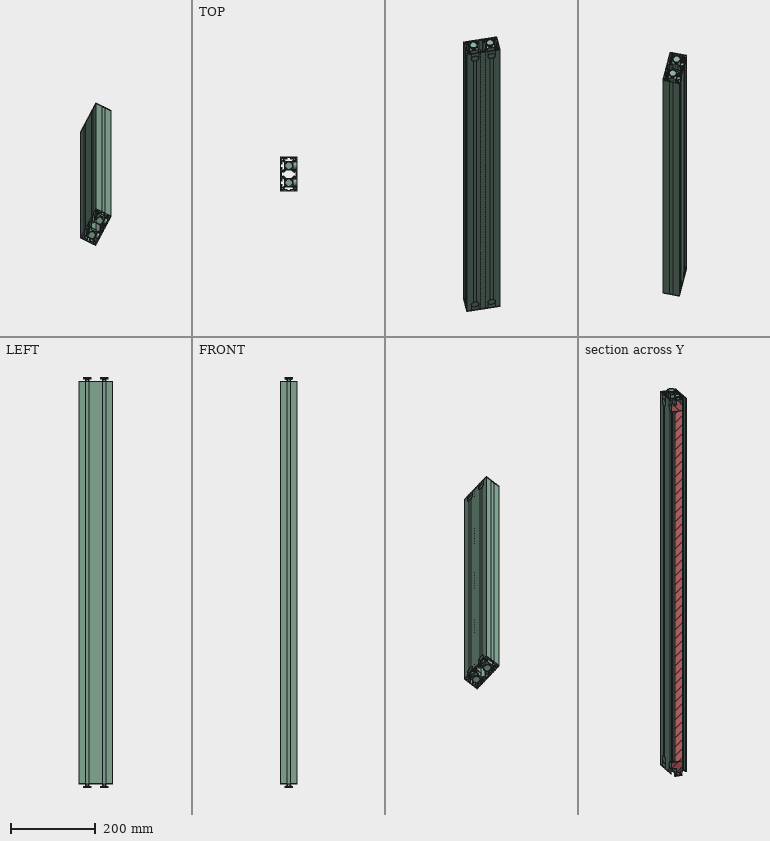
import cadquery as cq

WIDTH = 40.0
DEPTH = 80.0
LENGTH = 950.0
OVERALL_LENGTH = 967.4
CELL_Y = DEPTH / 4

SLOT_OPENING = 8.0
COVER = 1.0
LIP = 4.0
SLOT_WIDTH = 22.0
SLOT_STRAIGHT = 3.0
SLOT_BOTTOM_WIDTH = 16.0
SLOT_DEPTH = 10.0

CAVITY_WALL = 2.5
LOBE_INNER_X = 14.5
LOBE_HALF_DEPTH = 6.0
WAIST_X = 13.0
WAIST_HALF_DEPTH = 4.0
CORE_X = 6.0
CORE_HALF_DEPTH = 10.4

CORNER_HOLE_DIAMETER = 5.0
CORNER_HOLE_INSET = 5.4

PROJECTION = (OVERALL_LENGTH - LENGTH) / 2
HEAD_DIAMETER = 18.0
HEAD_THICKNESS = 3.0
HEAD_BOTTOM = PROJECTION - HEAD_THICKNESS
SLEEVE_DIAMETER = 13.5
SLEEVE_BORE_DIAMETER = 13.7
LUG_DIAMETER = SLEEVE_DIAMETER
LUG_WIDTH = 6.0
LUG_THICKNESS = 0.8
NECK_DIAMETER = 8.0
BARREL_DIAMETER = 18.0
BARREL_INSET = 20.0
BARREL_INNER_X = -9.0
BARREL_OUTER_X = WIDTH / 2 - COVER


def mirrored(points):
    """Complete a half outline with its reflection in the second axis."""
    return points + [(-a, b) for a, b in reversed(points)]


def full_length_prism(outline):
    """Extrude a closed outline along the whole profile."""
    return cq.Workplane("XY").polyline(outline).close().extrude(LENGTH / 2, both=True)


def slot(face_distance, centre_y, turn):
    """Closed T-slot behind a face; it lies on the +Y side until it is turned about Z."""
    lip_inner = face_distance - LIP
    half = [
        (SLOT_OPENING / 2, face_distance - COVER),
        (SLOT_OPENING / 2, lip_inner),
        (SLOT_WIDTH / 2, lip_inner),
        (SLOT_WIDTH / 2, lip_inner - SLOT_STRAIGHT),
        (SLOT_BOTTOM_WIDTH / 2, face_distance - SLOT_DEPTH),
    ]
    prism = full_length_prism(mirrored(half))
    return prism.rotate((0, 0, 0), (0, 0, 1), turn).translate((0, centre_y, 0))


def cavity():
    """Hollow between the two cells, waisted near the side walls."""
    quarter = [
        (WIDTH / 2 - CAVITY_WALL, LOBE_HALF_DEPTH),
        (LOBE_INNER_X, LOBE_HALF_DEPTH),
        (WAIST_X, WAIST_HALF_DEPTH),
        (CORE_X, CORE_HALF_DEPTH),
    ]
    upper = mirrored(quarter)
    lower = [(x, -y) for x, y in reversed(upper)]
    return full_length_prism(upper + lower)


def corner_holes():
    """Four round holes along the profile, one near each corner."""
    spacing_x = WIDTH - 2 * CORNER_HOLE_INSET
    spacing_y = DEPTH - 2 * CORNER_HOLE_INSET
    corners = cq.Workplane("XY").rect(spacing_x, spacing_y, forConstruction=True).vertices()
    return corners.circle(CORNER_HOLE_DIAMETER / 2).extrude(LENGTH / 2, both=True)




def rod(diameter, bottom, top):
    """Round rod along Z between two heights."""
    return cq.Workplane("XY", origin=(0, 0, bottom)).circle(diameter / 2).extrude(top - bottom)


def barrel():
    """Cross barrel along X that anchors the connector."""
    plane = cq.Plane(origin=(BARREL_INNER_X, 0, -BARREL_INSET), xDir=(0, 0, -1), normal=(1, 0, 0))
    return cq.Workplane(plane).circle(BARREL_DIAMETER / 2).extrude(BARREL_OUTER_X - BARREL_INNER_X)


def barrel_pocket():
    """Clearance in the +X slot, from the profile end down to the barrel axis."""
    inner_x = WIDTH / 2 - SLOT_DEPTH
    middle_x = (inner_x + BARREL_OUTER_X) / 2
    base = cq.Workplane("XY", origin=(middle_x, 0, -BARREL_INSET))
    return base.rect(BARREL_OUTER_X - inner_x, BARREL_DIAMETER).extrude(BARREL_INSET)


def lug():
    """Thin disc with two flats under the head."""
    disc = rod(LUG_DIAMETER, HEAD_BOTTOM - LUG_THICKNESS, HEAD_BOTTOM)
    return disc.intersect(cq.Workplane("XY").box(LUG_DIAMETER, LUG_WIDTH, 2 * PROJECTION))


def place(shape, y, end):
    """Move a shape to one end (1 upper, -1 lower) of the cell at y."""
    if end < 0:
        shape = shape.mirror("XY")
    return shape.translate((0, y, end * LENGTH / 2))


def connector(y, end):
    """One end connector as a single solid."""
    sleeve = rod(SLEEVE_DIAMETER, -BARREL_INSET, 0)
    neck = rod(NECK_DIAMETER, -BARREL_INSET, HEAD_BOTTOM)
    head = rod(HEAD_DIAMETER, HEAD_BOTTOM, PROJECTION)
    return place(barrel().union(sleeve).union(neck).union(lug()).union(head), y, end)


def profile():
    """Hollow slotted profile with a connector seat at both ends of each cell."""
    body = cq.Workplane("XY").box(WIDTH, DEPTH, LENGTH)
    body = body.cut(cavity()).cut(corner_holes())
    for turn in (0, 180):
        body = body.cut(slot(DEPTH / 2, 0, turn))
    for y in (CELL_Y, -CELL_Y):
        for turn in (90, -90):
            body = body.cut(slot(WIDTH / 2, y, turn))
        for end in (1, -1):
            sleeve_bore = rod(SLEEVE_BORE_DIAMETER, -BARREL_INSET, 0)
            for opening in (sleeve_bore, barrel(), barrel_pocket()):
                body = body.cut(place(opening, y, end))
    return body


extrusion = profile()
connectors = [connector(y, end) for y in (CELL_Y, -CELL_Y) for end in (1, -1)]
result = cq.Compound.makeCompound([extrusion.val(), *(part.val() for part in connectors)])